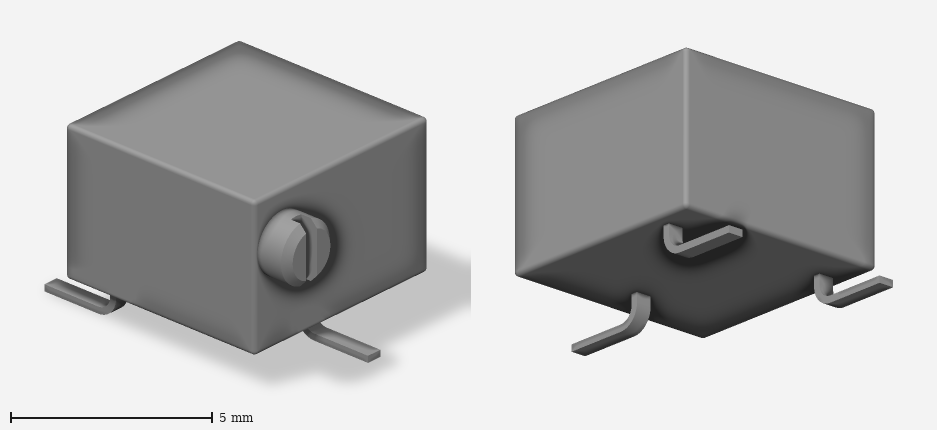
import cadquery as cq

overall_length = 8.6
body_side = 6.4
overall_height = 5.2
standoff = 0.895
edge_radius = 0.12

lead_width = 0.46
lead_thickness = 0.2
bend_radius = 0.6
lead_offset = 1.88
lead_pitch = 2.53
lead_embed = 0.09

screw_diameter = 1.8
screw_length = 1.0
screw_chamfer = 0.21
screw_y = -2.19
screw_drop = 1.5
slot_width = 0.395
slot_depth = 0.52


def make_body():
    """Rounded housing standing above the lead feet."""
    body_height = overall_height - standoff
    block = cq.Workplane("XY").box(body_side, body_side, body_height, centered=(True, True, False))
    return block.edges().fillet(edge_radius).translate((0, 0, standoff))


def make_lead(y_center):
    """Lead that drops from the housing and bends outward toward +X."""
    outer_face = lead_offset + lead_thickness
    lead_top = standoff + lead_embed
    tip = overall_length / 2
    bend_x = lead_offset + bend_radius
    inner_radius = bend_radius - lead_thickness
    diagonal = 0.5 ** 0.5

    def bend_midpoint(radius):
        return (bend_x - radius * diagonal, bend_radius - radius * diagonal)

    profile = (
        cq.Workplane("XZ")
        .moveTo(lead_offset, lead_top)
        .lineTo(lead_offset, bend_radius)
        .threePointArc(bend_midpoint(bend_radius), (bend_x, 0))
        .lineTo(tip, 0)
        .lineTo(tip, lead_thickness)
        .lineTo(bend_x, lead_thickness)
        .threePointArc(bend_midpoint(inner_radius), (outer_face, bend_radius))
        .lineTo(outer_face, lead_top)
        .close()
    )
    return profile.extrude(lead_width / 2, both=True).translate((0, y_center, 0))


def make_screw():
    """Chamfered screw head on the +X face with an upright driver slot."""
    head = cq.Workplane("YZ").circle(screw_diameter / 2).extrude(screw_length)
    head = head.faces(">X").chamfer(screw_chamfer)
    slot = cq.Workplane("XY").box(2 * slot_depth, slot_width, 2 * screw_diameter)
    head = head.cut(slot.translate((screw_length, 0, 0)))
    return head.translate((body_side / 2, screw_y, overall_height - screw_drop))


result = make_body().union(make_screw()).union(make_lead(0))
for y_center in (-lead_pitch, lead_pitch):
    opposite_lead = make_lead(y_center).mirror("YZ")
    result = result.union(opposite_lead)